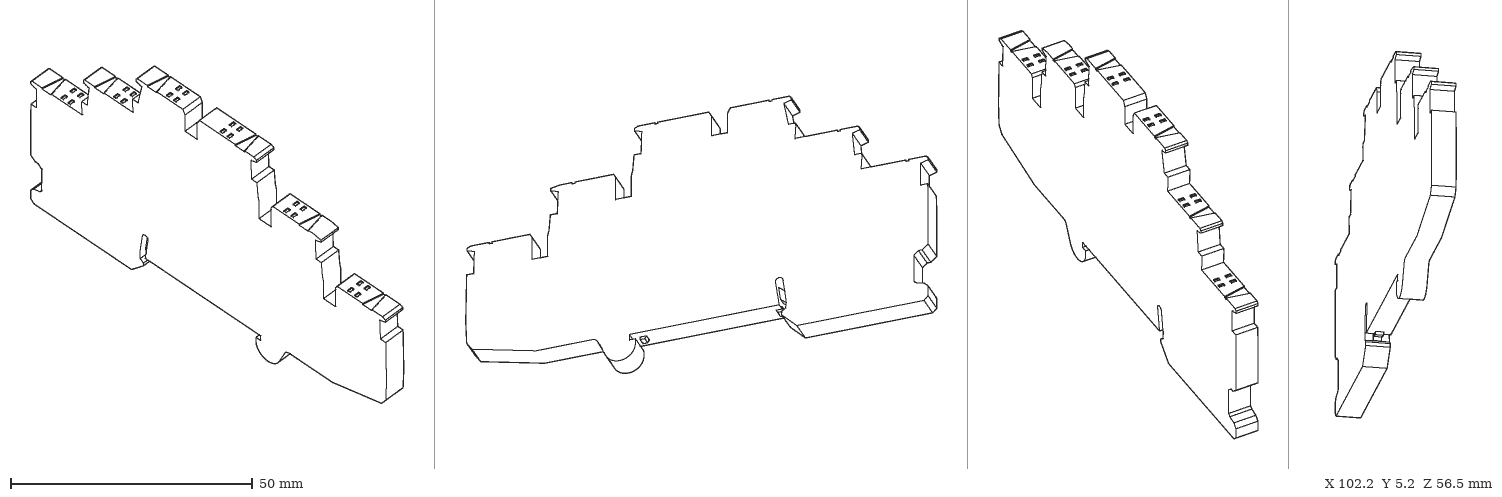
import cadquery as cq
import math

LENGTH = 102.2
THICKNESS = 5.2
HEIGHT = 56.5
BACK_Y = THICKNESS / 2
FRONT_Y = -BACK_Y

TIER_PITCH = 10.6
LEFT_PITCH = 15.1
LEFT_FIRST_SHOULDER = 0.1
LEFT_SHOULDER_PITCH = 14.6
RIGHT_PITCH = 18.5
RIGHT_FIRST_TIP = 101.9
RIGHT_FIRST_SHOULDER = 102.0
TIER_TOPS = [HEIGHT - TIER_PITCH * n for n in (2, 1, 0)]
LEFT_TIPS = [LEFT_PITCH * n for n in range(3)]
LEFT_SHOULDERS = [LEFT_FIRST_SHOULDER + LEFT_SHOULDER_PITCH * n for n in range(3)]
RIGHT_TIPS = [RIGHT_FIRST_TIP - RIGHT_PITCH * n for n in range(3)]
RIGHT_SHOULDERS = [RIGHT_FIRST_SHOULDER - RIGHT_PITCH * n for n in range(3)]

LIP_OVERHANG = 1.6
LIP_BEVEL_HEIGHT = 0.4
LEFT_LIP_BEVELS = [0.4, 0.4, 0.4]
RIGHT_LIP_BEVELS = [0.8, 2.0, 0.8]
LIP_DEPTH = 1.0
NECK_TOP_DEPTH = 1.5
NECK_BOTTOM_DEPTH = 6.8
LEDGE_WIDTH = 1.5

RISER_LEAN = 0.1
RISER_BEND_DEPTH = 0.7

SLOT_WIDTH = 3.5
SLOT_DEPTH = 6.2
TOP_SLOT_DEPTH = 5.9
TOP_SLOT_LEFT = 44.4
TOP_SLOT_FLARE = 0.6
SLOT_BEVEL_DEPTH = 0.7
SLOT_BEVEL_WIDTH = 0.4
SLOT_WALL_STEP = 0.6
SLOT_OFFSET = 0.6

FOOT_BEVEL = 0.9
RAIL_SEAT_Z = 5.9
BELLY_Z = 6.4
HOOK_RADIUS = 3.5
HOOK_CENTRE_X = 68.2
HOOK_MOUTH_Z = 4.6
HOOK_MOUTH_X = 66.0
HOOK_SLOPE = math.radians(65)
HOOK_FILLET = 1.2
LEFT_WALL_BEND_Z = 25.0
RIGHT_WALL_BEND_Z = 17.0
RIGHT_WALL_TAPER = 0.2

MARK_DEPTH = 0.3
LEFT_FIRST_WEDGE = 4.6
RIGHT_FIRST_WEDGE = 96.7
RIGHT_WEDGE_PITCH = 18.3
LEFT_WEDGES = [LEFT_FIRST_WEDGE + LEFT_PITCH * n for n in range(3)]
RIGHT_WEDGES = [RIGHT_FIRST_WEDGE - RIGHT_WEDGE_PITCH * n for n in range(3)]
WEDGE_BASE = 2.7
WEDGE_APEX = 0.6
WINDOW_OFFSET = 4.9
WINDOW_PITCH_X = 2.0
WINDOW_PITCH_Y = 2.8
WINDOW_SIZE_X = 0.7
WINDOW_SIZE_Y = 1.2

CONTACT_THICKNESS = 1.7
CONTACT_DROP = 0.6


def lip_points(tip_x, bevel_width, shoulder_x, top_z, inward):
    """One stepped end, from the shoulder up to the tier top; inward is +1 or -1 along X."""
    neck_top_x = tip_x + inward * LIP_OVERHANG
    neck_bottom_x = shoulder_x + inward * LEDGE_WIDTH
    return [
        (shoulder_x, top_z - NECK_BOTTOM_DEPTH),
        (neck_bottom_x, top_z - NECK_BOTTOM_DEPTH),
        (neck_top_x, top_z - NECK_TOP_DEPTH),
        (tip_x, top_z - LIP_DEPTH),
        (tip_x, top_z - LIP_BEVEL_HEIGHT),
        (tip_x + inward * bevel_width, top_z),
    ]


def left_stair():
    """Left tiers, climbing from the lowest shoulder to the highest top."""
    points = []
    for tier, top_z in enumerate(TIER_TOPS):
        shoulder_x = LEFT_SHOULDERS[tier]
        if tier > 0:
            points += [
                (shoulder_x + RISER_LEAN, TIER_TOPS[tier - 1]),
                (shoulder_x - RISER_LEAN, top_z - NECK_BOTTOM_DEPTH - RISER_BEND_DEPTH),
            ]
        points += lip_points(LEFT_TIPS[tier], LEFT_LIP_BEVELS[tier], shoulder_x, top_z, 1)
    return points


def top_slot():
    """Slot with flared edges in the highest tier."""
    right_x = TOP_SLOT_LEFT + SLOT_WIDTH
    flare_z = HEIGHT - 2 * TOP_SLOT_FLARE
    floor_z = HEIGHT - TOP_SLOT_DEPTH
    return [
        (TOP_SLOT_LEFT - TOP_SLOT_FLARE, HEIGHT),
        (TOP_SLOT_LEFT, flare_z),
        (TOP_SLOT_LEFT, floor_z),
        (right_x, floor_z),
        (right_x, flare_z),
        (right_x + TOP_SLOT_FLARE, HEIGHT),
    ]


def side_slot(shoulder_x, tier_top_z):
    """Slot between the foot of a higher tier and the right-hand tier below it."""
    left_x = shoulder_x + SLOT_OFFSET
    right_x = left_x + SLOT_WIDTH
    floor_z = tier_top_z - SLOT_DEPTH
    return [
        (left_x - SLOT_WALL_STEP / 2, tier_top_z),
        (left_x, tier_top_z - 2 * SLOT_WALL_STEP),
        (left_x, floor_z),
        (right_x, floor_z),
        (right_x, tier_top_z - SLOT_BEVEL_DEPTH),
        (right_x + SLOT_BEVEL_WIDTH, tier_top_z),
    ]


def right_stair():
    """Right tiers, descending from the highest top to the lowest shoulder."""
    points = []
    for tier in (2, 1, 0):
        shoulder_x = RIGHT_SHOULDERS[tier]
        lip = lip_points(RIGHT_TIPS[tier], RIGHT_LIP_BEVELS[tier], shoulder_x, TIER_TOPS[tier], -1)
        points += reversed(lip)
        if tier > 0:
            points += side_slot(shoulder_x, TIER_TOPS[tier - 1])
    return points


def extrude_profile(sketch, thickness):
    """Extrude an XZ outline evenly to both sides of the mid plane."""
    return sketch.extrude(thickness / 2, both=True)


def housing():
    """Full outline of the block, from the bottom-left corner over the top and back along the rail."""
    hook_tangent = (
        HOOK_CENTRE_X + HOOK_RADIUS * math.sin(HOOK_SLOPE),
        HOOK_RADIUS * (1 - math.cos(HOOK_SLOPE)),
    )
    hook_root_x = hook_tangent[0] + (BELLY_Z - hook_tangent[1]) / math.tan(HOOK_SLOPE)
    hook_left_x = HOOK_CENTRE_X - HOOK_RADIUS

    left_end = [
        (0, FOOT_BEVEL), (0, 3.4), (0.9, 4.3), (2.7, 4.7), (3.2, 5.2),
        (3.2, 11.5), (2.1, 12.5), (1.3, 12.5), (0, 13.6), (0, LEFT_WALL_BEND_Z),
    ]
    right_end = [
        (LENGTH, RIGHT_WALL_BEND_Z), (LENGTH - RIGHT_WALL_TAPER, 11.7), (100.8, 9.9),
        (86.7, BELLY_Z), (hook_root_x, BELLY_Z), hook_tangent,
    ]
    outline = [(FOOT_BEVEL, 0)] + left_end + left_stair() + top_slot() + right_stair() + right_end

    profile = (
        cq.Workplane("XZ")
        .polyline(outline)
        .threePointArc((HOOK_CENTRE_X, 0), (hook_left_x, HOOK_RADIUS))
        .lineTo(hook_left_x, HOOK_MOUTH_Z)
        .lineTo(HOOK_MOUTH_X, HOOK_MOUTH_Z)
        .lineTo(HOOK_MOUTH_X, RAIL_SEAT_Z)
        .lineTo(32.9, RAIL_SEAT_Z)
        .lineTo(33.7, 11.7)
        .threePointArc((33.0, 12.6), (32.1, 11.9))
        .lineTo(31.4, 6.6)
        .lineTo(31.5, 4.9)
        .lineTo(32.4, 4.2)
        .lineTo(32.4, 3.4)
        .lineTo(29.0, 0)
        .close()
    )
    reach = HOOK_FILLET / 2
    hook_root = cq.selectors.BoxSelector(
        (hook_root_x - reach, FRONT_Y - reach, BELLY_Z - reach),
        (hook_root_x + reach, BACK_Y + reach, BELLY_Z + reach),
    )
    return extrude_profile(profile, THICKNESS).edges(hook_root).fillet(HOOK_FILLET)


def contact():
    """Thin metal strip: a diagonal web across the spring slit and two feet under the rail seat."""
    web = [(31.4, 4.9), (31.7, 4.9), (31.7, 7.1), (33.4, 8.5), (34.1, 11.8), (31.8, 9.8), (31.1, 6.6)]
    foot_z = RAIL_SEAT_Z - CONTACT_DROP
    bar_top_z = RAIL_SEAT_Z + CONTACT_DROP
    left_foot = [(32.9, bar_top_z), (32.9, foot_z), (33.9, foot_z), (34.2, RAIL_SEAT_Z), (34.2, bar_top_z)]
    right_foot = [(62.9, bar_top_z), (62.9, RAIL_SEAT_Z), (63.3, foot_z), (64.3, foot_z), (64.3, bar_top_z)]
    strip = cq.Workplane("XZ")
    for outline in (web, left_foot, right_foot):
        strip = strip.polyline(outline).close()
    return extrude_profile(strip, CONTACT_THICKNESS)


def tier_marks(wedge_x, top_z, inward):
    """Tapered groove and a 2 x 2 group of windows to cut from one tier top."""
    window_x = wedge_x + inward * WINDOW_OFFSET
    floor = cq.Workplane("XY").workplane(offset=top_z - MARK_DEPTH)
    wedge = floor.polyline([
        (wedge_x - WEDGE_BASE / 2, FRONT_Y),
        (wedge_x + WEDGE_BASE / 2, FRONT_Y),
        (wedge_x + WEDGE_APEX / 2, BACK_Y),
        (wedge_x - WEDGE_APEX / 2, BACK_Y),
    ]).close().extrude(MARK_DEPTH)
    windows = (
        floor.center(window_x, 0)
        .rarray(WINDOW_PITCH_X, WINDOW_PITCH_Y, 2, 2)
        .rect(WINDOW_SIZE_X, WINDOW_SIZE_Y)
        .extrude(MARK_DEPTH)
    )
    return wedge.add(windows).combine()


result = housing().union(contact())
for left_wedge, right_wedge, tier_top in zip(LEFT_WEDGES, RIGHT_WEDGES, TIER_TOPS):
    result = result.cut(tier_marks(left_wedge, tier_top, 1))
    result = result.cut(tier_marks(right_wedge, tier_top, -1))